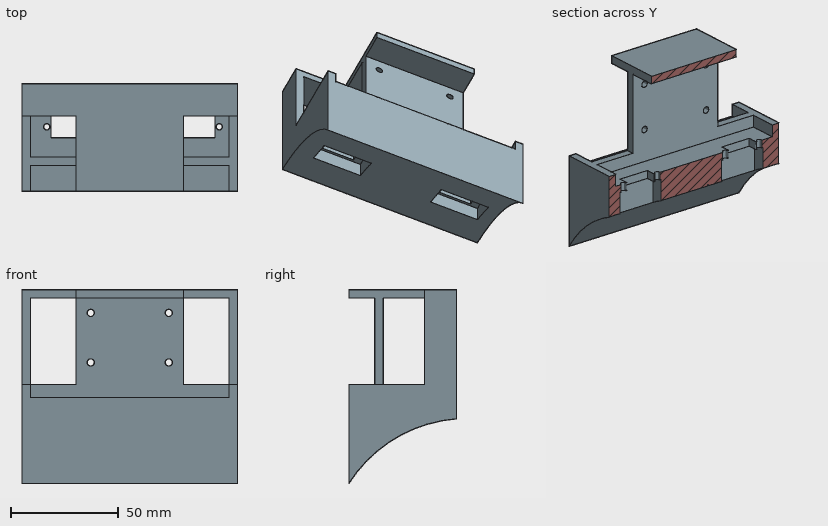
import cadquery as cq

WIDTH = 100.0
DEPTH = 50.0
HEIGHT = 90.0
WALL = 4.0

RIM_HEIGHT = 46.0
FLOOR_HEIGHT = 40.0
ARCH_REAR_HEIGHT = 30.0
ARCH_RADIUS = 65.0

FRAME_DEPTH = 15.0
PLATE_WIDTH = 50.0
PLATE_FRONT = 12.0
PLATE_REAR = PLATE_FRONT + WALL

PLATE_HOLE_DIAMETER = 3.2
PLATE_HOLE_SPACING_X = 36.2
PLATE_HOLE_LOW = 56.2
PLATE_HOLE_HIGH = 79.2

OPENING_CENTERS_X = (21.5, 81.5)
OPENING_CENTER_Y = 30.0
OPENING_LENGTH = 16.0
OPENING_WIDTH = 10.0
SCREW_SPACING = 20.0
SCREW_DIAMETER = 2.8
RELIEF_LENGTH = 24.0
RELIEF_WIDTH = 12.0
RELIEF_CEILING = FLOOR_HEIGHT - WALL


def block(x_min, x_max, y_min, y_max, z_min, z_max):
    """Axis-aligned box between the given limits."""
    size = (x_max - x_min, y_max - y_min, z_max - z_min)
    return cq.Workplane("XY").box(*size, centered=False).translate((x_min, y_min, z_min))


def make_side_profile():
    """Solid L-shaped profile with the arched underside, swept across the width."""
    return (
        cq.Workplane("YZ")
        .moveTo(0, 0)
        .lineTo(0, RIM_HEIGHT)
        .lineTo(DEPTH - FRAME_DEPTH, RIM_HEIGHT)
        .lineTo(DEPTH - FRAME_DEPTH, HEIGHT)
        .lineTo(DEPTH, HEIGHT)
        .lineTo(DEPTH, ARCH_REAR_HEIGHT)
        .radiusArc((0, 0), -ARCH_RADIUS)
        .close()
        .extrude(WIDTH)
    )


def cut_trays(body):
    """Open the front tray and the rear bay, leaving the cross wall between them."""
    inner_left = WALL
    inner_right = WIDTH - WALL
    inner_top = HEIGHT - WALL
    front_tray = block(inner_left, inner_right, 0, PLATE_FRONT, FLOOR_HEIGHT, inner_top)
    rear_bay = block(inner_left, inner_right, PLATE_REAR, DEPTH, FLOOR_HEIGHT, inner_top)
    return body.cut(front_tray).cut(rear_bay)


def add_plate_and_canopy(body):
    """Add the upright plate and the canopy that reaches from the frame to the front."""
    left = (WIDTH - PLATE_WIDTH) / 2
    right = left + PLATE_WIDTH
    plate = block(left, right, PLATE_FRONT, PLATE_REAR, FLOOR_HEIGHT, HEIGHT)
    canopy = block(left, right, 0, DEPTH, HEIGHT - WALL, HEIGHT)
    return body.union(plate).union(canopy)


def drill_plate(body):
    """Drill the four mounting holes through the upright plate."""
    half_spacing = PLATE_HOLE_SPACING_X / 2
    for x in (WIDTH / 2 - half_spacing, WIDTH / 2 + half_spacing):
        for z in (PLATE_HOLE_LOW, PLATE_HOLE_HIGH):
            hole = cq.Solid.makeCylinder(
                PLATE_HOLE_DIAMETER / 2, WALL, cq.Vector(x, PLATE_FRONT, z), cq.Vector(0, 1, 0)
            )
            body = body.cut(hole)
    return body


def centered_opening(center_x, length, width, top):
    """Box centred on a connector position, running from z = 0 up to the given top."""
    return block(
        center_x - length / 2,
        center_x + length / 2,
        OPENING_CENTER_Y - width / 2,
        OPENING_CENTER_Y + width / 2,
        0,
        top,
    )


def cut_connector_opening(body, center_x):
    """Cut a connector opening, its two screw holes and the wider relief below the floor."""
    body = body.cut(centered_opening(center_x, OPENING_LENGTH, OPENING_WIDTH, FLOOR_HEIGHT))
    body = body.cut(centered_opening(center_x, RELIEF_LENGTH, RELIEF_WIDTH, RELIEF_CEILING))
    for x in (center_x - SCREW_SPACING / 2, center_x + SCREW_SPACING / 2):
        hole = cq.Solid.makeCylinder(
            SCREW_DIAMETER / 2, FLOOR_HEIGHT, cq.Vector(x, OPENING_CENTER_Y, 0)
        )
        body = body.cut(hole)
    return body


result = make_side_profile()
result = cut_trays(result)
result = add_plate_and_canopy(result)
result = drill_plate(result)
for opening_x in OPENING_CENTERS_X:
    result = cut_connector_opening(result, opening_x)